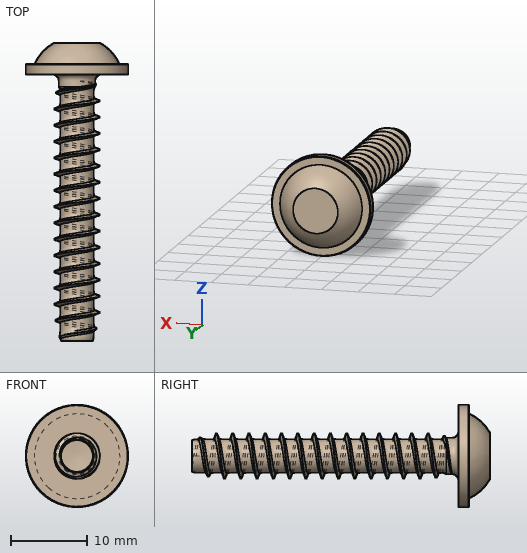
import cadquery as cq
import math


FLANGE_RADIUS = 13.5 / 2
FLANGE_THICKNESS = 1.45
FLANGE_CHAMFER = 0.1
HEAD_HEIGHT = 4.2
DOME_BASE_RADIUS = 5.6
DOME_TOP_RADIUS = 3.05

SHANK_LENGTH = 35.0
NECK_RADIUS = 2.42
NECK_FILLET = 0.75
NECK_LENGTH = 1.55
NECK_FLARE_LENGTH = 0.7
CORE_RADIUS = 2.21
TIP_RADIUS = 2.08
TIP_ROUND_LENGTH = 0.6
TIP_DIMPLE_DEPTH = 0.15

CREST_RADIUS = 3.0
PITCH = 2.14
FULL_THREAD_TOP = -3.42
FULL_TURNS = 13.25
HEAD_FADE_TURNS = 1.5
TIP_FADE_TURNS = 1.25
CREST_HALF_WIDTH = 0.03
FOOT_RADIUS = 2.29
FADED_CREST_RADIUS = FOOT_RADIUS + 0.01
HEAD_FLANK_WIDTH = 0.3
TIP_FLANK_WIDTH = 0.3
HEAD_BASE_WIDTH = 0.75
THREAD_INNER_RADIUS = 1.9


def thread_section(crest_radius):
    """Corners of the thread section as (radius, distance from the crest toward the head)."""
    return [
        (THREAD_INNER_RADIUS, -TIP_FLANK_WIDTH),
        (CORE_RADIUS, -TIP_FLANK_WIDTH),
        (crest_radius, -CREST_HALF_WIDTH),
        (crest_radius, CREST_HALF_WIDTH),
        (FOOT_RADIUS, HEAD_FLANK_WIDTH),
        (CORE_RADIUS, HEAD_BASE_WIDTH),
        (THREAD_INNER_RADIUS, HEAD_BASE_WIDTH),
    ]


def tangent_arc_middle(length, step):
    """Middle of an arc that leaves a line tangentially, `length` along it and `step` off it."""
    radius = (length**2 + step**2) / (2 * step)
    half_angle = math.asin(length / radius) / 2
    return radius * math.sin(half_angle), radius * (1 - math.cos(half_angle))


def make_blank():
    """Head, neck and threadless core, revolved about the Y axis."""
    dome_height = HEAD_HEIGHT - FLANGE_THICKNESS
    center_drop = (DOME_BASE_RADIUS**2 - DOME_TOP_RADIUS**2 - dome_height**2) / (2 * dome_height)
    sphere_radius = math.hypot(DOME_BASE_RADIUS, center_drop)
    dome_mid_y = FLANGE_THICKNESS + dome_height / 2
    dome_mid_radius = math.sqrt(sphere_radius**2 - (center_drop + dome_height / 2) ** 2)

    fillet_center_radius = NECK_RADIUS + NECK_FILLET
    fillet_mid_offset = NECK_FILLET * math.sqrt(0.5)

    flare_end_y = -NECK_LENGTH - NECK_FLARE_LENGTH
    flare_mid_along, flare_mid_out = tangent_arc_middle(NECK_FLARE_LENGTH, NECK_RADIUS - CORE_RADIUS)
    round_start_y = TIP_ROUND_LENGTH - SHANK_LENGTH
    round_mid_along, round_mid_in = tangent_arc_middle(TIP_ROUND_LENGTH, CORE_RADIUS - TIP_RADIUS)

    profile = (
        cq.Workplane("XY")
        .moveTo(0, HEAD_HEIGHT)
        .lineTo(DOME_TOP_RADIUS, HEAD_HEIGHT)
        .threePointArc((dome_mid_radius, dome_mid_y), (DOME_BASE_RADIUS, FLANGE_THICKNESS))
        .lineTo(FLANGE_RADIUS - FLANGE_CHAMFER, FLANGE_THICKNESS)
        .lineTo(FLANGE_RADIUS, FLANGE_THICKNESS - FLANGE_CHAMFER)
        .lineTo(FLANGE_RADIUS, FLANGE_CHAMFER)
        .lineTo(FLANGE_RADIUS - FLANGE_CHAMFER, 0)
        .lineTo(fillet_center_radius, 0)
        .threePointArc(
            (fillet_center_radius - fillet_mid_offset, fillet_mid_offset - NECK_FILLET),
            (NECK_RADIUS, -NECK_FILLET),
        )
        .lineTo(NECK_RADIUS, -NECK_LENGTH)
        .threePointArc(
            (CORE_RADIUS + flare_mid_out, flare_end_y + flare_mid_along),
            (CORE_RADIUS, flare_end_y),
        )
        .lineTo(CORE_RADIUS, round_start_y)
        .threePointArc(
            (CORE_RADIUS - round_mid_in, round_start_y - round_mid_along),
            (TIP_RADIUS, -SHANK_LENGTH),
        )
        .lineTo(0, TIP_DIMPLE_DEPTH - SHANK_LENGTH)
        .close()
    )
    return profile.revolve(360, (0, 0, 0), (0, 1, 0))


def make_helix(start_radius, end_radius, turns):
    """Right-handed helix climbing the Z axis from (start_radius, 0, 0) to end_radius."""
    growth = end_radius - start_radius
    if growth == 0:
        return cq.Wire.makeHelix(PITCH, turns * PITCH, start_radius)
    cone_angle = math.atan2(growth, turns * PITCH)
    slant_pitch = PITCH / math.cos(cone_angle)
    return cq.Wire.makeHelix(
        slant_pitch, turns * slant_pitch, start_radius, angle=math.degrees(cone_angle)
    )


def make_ridge(start_turn, turns, start_crest, end_crest):
    """Stretch of thread whose crest radius runs evenly from start_crest to end_crest.

    Turns count toward the head from the tip end of the full-height thread.
    """
    start_section = thread_section(start_crest)
    end_section = thread_section(end_crest)
    edges = []
    for (start_radius, offset), (end_radius, _) in zip(start_section, end_section):
        helix = make_helix(start_radius, end_radius, turns)
        edges.append(helix.translate(cq.Vector(0, 0, offset)).Edges()[0])

    next_edges = edges[1:] + edges[:1]
    faces = [cq.Face.makeRuledSurface(edge, after) for edge, after in zip(edges, next_edges)]
    for end in (0, 1):
        corners = [edge.positionAt(end) for edge in edges]
        faces.append(cq.Face.makeFromWires(cq.Wire.makePolygon(corners, close=True)))
    ridge = cq.Workplane(obj=cq.Solid.makeSolid(cq.Shell.makeShell(faces)))

    start_y = FULL_THREAD_TOP + (start_turn - FULL_TURNS) * PITCH
    return (
        ridge.rotate((0, 0, 0), (0, 0, 1), (start_turn - FULL_TURNS) * 360)
        .rotate((0, 0, 0), (1, 0, 0), -90)
        .translate((0, start_y, 0))
    )


def make_thread():
    """Full-height thread and the fading stretch at each of its ends."""
    return [
        make_ridge(0, FULL_TURNS, CREST_RADIUS, CREST_RADIUS),
        make_ridge(-TIP_FADE_TURNS, TIP_FADE_TURNS, FADED_CREST_RADIUS, CREST_RADIUS),
        make_ridge(FULL_TURNS, HEAD_FADE_TURNS, CREST_RADIUS, FADED_CREST_RADIUS),
    ]


result = make_blank()
for ridge in make_thread():
    result = result.union(ridge)